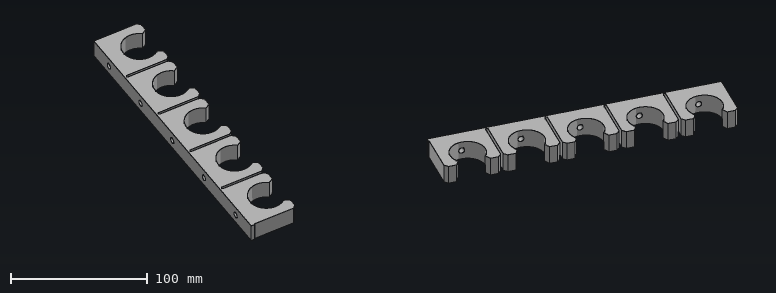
import cadquery as cq
import math

length = 228.0
depth = 39.0
height = 15.0

clip_count = 5
clip_pitch = 45.8
slot_floor = 1.5
end_tab = 0.7
end_tab_depth = 3.2
clip_width = length - end_tab - (clip_count - 1) * clip_pitch
slot_width = clip_pitch - clip_width
corner_chamfer = 2.7

seat_radius = 13.7
seat_center_y = 26.0
throat_half_width = 10.5
mouth_half_width = 13.0

hole_diameter = 4.5


def box(x_min, x_max, y_min, y_max):
    """Full-height block between the given X and Y limits."""
    return cq.Workplane("XY").box(x_max - x_min, y_max - y_min, height, centered=False).translate(
        (x_min, y_min, 0)
    )


def clip(left):
    """Clip body with chamfered outer tips."""
    return box(left, left + clip_width, 0, depth).edges("|Z and >Y").chamfer(corner_chamfer)


def seat(center_x):
    """Open round seat, narrowing to a throat and flaring out to the mouth."""
    throat_y = seat_center_y + math.sqrt(seat_radius**2 - throat_half_width**2)
    return (
        cq.Workplane("XY")
        .moveTo(center_x - mouth_half_width, depth)
        .lineTo(center_x - throat_half_width, throat_y)
        .threePointArc(
            (center_x, seat_center_y - seat_radius),
            (center_x + throat_half_width, throat_y),
        )
        .lineTo(center_x + mouth_half_width, depth)
        .close()
        .extrude(height)
    )


def bridge(left):
    """Web joining a clip to the next one, with a rounded slot end."""
    slot_radius = slot_width / 2
    web_depth = slot_floor + slot_radius
    slot_end = (
        cq.Workplane("XY")
        .center(left + clip_pitch - slot_radius, web_depth)
        .circle(slot_radius)
        .extrude(height)
    )
    return box(left + clip_width, left + clip_pitch, 0, web_depth).cut(slot_end)


def mounting_hole(center_x):
    """Round hole from the flat edge into the seat."""
    return (
        cq.Workplane("XZ")
        .center(center_x, height / 2)
        .circle(hole_diameter / 2)
        .extrude(-seat_center_y)
    )


clip_lefts = [index * clip_pitch for index in range(clip_count)]

result = box(length - end_tab - clip_width / 2, length, 0, end_tab_depth)
for left in clip_lefts:
    result = result.union(clip(left))
for left in clip_lefts[:-1]:
    result = result.union(bridge(left))
for left in clip_lefts:
    seat_x = left + clip_width / 2
    result = result.cut(seat(seat_x)).cut(mounting_hole(seat_x))